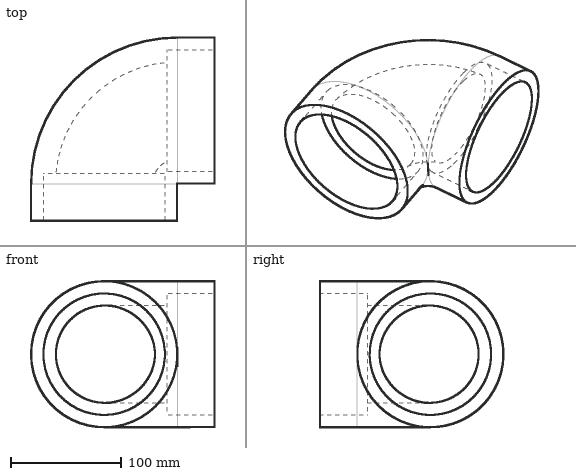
import cadquery as cq

overall_length = 166.2
outer_diameter = 132.5
bend_radius = 66.3
bend_angle = 90
socket_diameter = 110.0
socket_depth = 42.9
bore_diameter = 88.1

collar_length = overall_length - bend_radius - outer_diameter / 2
socket_overrun = socket_depth - collar_length

front_end = cq.Plane(origin=(-bend_radius, 0, 0), xDir=(-1, 0, 0), normal=(0, -1, 0))
side_end = cq.Plane(origin=(0, bend_radius, 0), xDir=(0, 0, 1), normal=(1, 0, 0))


def quarter_bend(diameter):
    """Round quarter bend about the Z axis, from the front end to the side end."""
    section = cq.Workplane(front_end).circle(diameter / 2)
    return section.revolve(bend_angle, (-bend_radius, 0), (-bend_radius, 1))


def end_cylinder(end, diameter, inset=0):
    """Cylinder from the given inset inside the bend to the outer face of the opening."""
    return cq.Workplane(end).workplane(offset=-inset).circle(diameter / 2).extrude(collar_length + inset)


body = quarter_bend(outer_diameter)
for end in (front_end, side_end):
    body = body.union(end_cylinder(end, outer_diameter))

result = body.cut(quarter_bend(bore_diameter))
for end in (front_end, side_end):
    result = result.cut(end_cylinder(end, socket_diameter, socket_overrun))